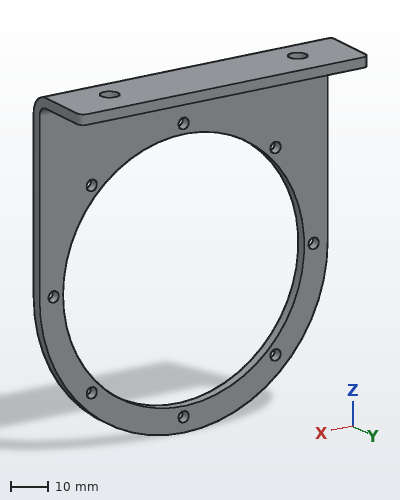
import cadquery as cq

width = 92.0
height = 104.0
flange_depth = 23.5

thickness = 3.0
inner_bend_radius = 3.0
outer_bend_radius = inner_bend_radius + thickness

end_radius = width / 2
top_z = height - end_radius
opening_diameter = 77.0
ring_hole_count = 8
ring_hole_diameter = 3.2
ring_hole_circle_radius = 41.5

flange_hole_diameter = 5.3
flange_hole_spacing = 60.0
flange_hole_y = 12.9
corner_radius = 2.0


def bent_sheet():
    """L-shaped side profile of the bent sheet, extruded over the full width."""
    bend_z = top_z - outer_bend_radius
    return (
        cq.Workplane("YZ")
        .moveTo(0, -end_radius)
        .lineTo(0, bend_z)
        .radiusArc((outer_bend_radius, top_z), outer_bend_radius)
        .lineTo(flange_depth, top_z)
        .lineTo(flange_depth, top_z - thickness)
        .lineTo(outer_bend_radius, top_z - thickness)
        .radiusArc((thickness, bend_z), -inner_bend_radius)
        .lineTo(thickness, -end_radius)
        .close()
        .extrude(width / 2, both=True)
    )


def front_outline():
    """Straight-sided outline with a semicircular lower end, through the full depth."""
    return (
        cq.Workplane("XZ")
        .moveTo(-end_radius, top_z)
        .lineTo(-end_radius, 0)
        .threePointArc((0, -end_radius), (end_radius, 0))
        .lineTo(end_radius, top_z)
        .close()
        .extrude(-flange_depth)
    )


def ring_cutouts():
    """Large opening and the ring of small holes around it."""
    opening = cq.Workplane("XZ").circle(opening_diameter / 2).extrude(-thickness)
    holes = (
        cq.Workplane("XZ")
        .polarArray(ring_hole_circle_radius, 0, 360, ring_hole_count)
        .circle(ring_hole_diameter / 2)
        .extrude(-thickness)
    )
    return opening.union(holes)


def flange_holes():
    """Pair of mounting holes down through the top flange."""
    half_spacing = flange_hole_spacing / 2
    return (
        cq.Workplane("XY", origin=(0, 0, top_z))
        .pushPoints([(-half_spacing, flange_hole_y), (half_spacing, flange_hole_y)])
        .circle(flange_hole_diameter / 2)
        .extrude(-thickness)
    )


bracket = bent_sheet().intersect(front_outline())
bracket = bracket.faces(">Y").edges("|Z").fillet(corner_radius)
result = bracket.cut(ring_cutouts()).cut(flange_holes())